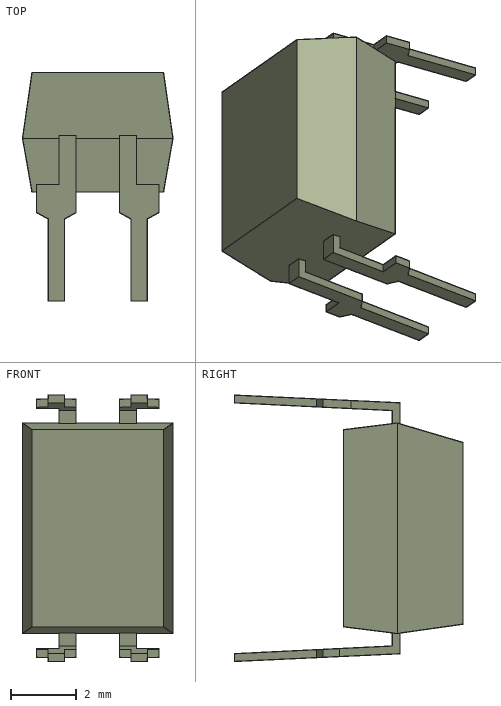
import cadquery as cq

SEAM_HALF_WIDTH = 2.288
SEAM_HALF_HEIGHT = 3.2
FACE_HALF_WIDTH = 2.0
FRONT_Y = -1.64
BACK_Y = 2.0
FRONT_HALF_HEIGHT = 3.0
BACK_TOP_Z = 2.61
BACK_BOTTOM_Z = -2.92

LEAD_THICKNESS = 0.24
LEAD_BACK_Y = 0.09
LEAD_TIP_Y = -4.95
BEND_HALF_HEIGHT = 3.815
TIP_HALF_HEIGHT = 4.05
LEAD_ROOT_Z = 2.92

STEM_INNER_X = 0.66
STEM_OUTER_X = 1.18
SHOULDER_OUTER_X = 1.86
PIN_INNER_X = 1.005
PIN_OUTER_X = 1.51
TOP_SHOULDER_Y = -1.41
BOTTOM_SHOULDER_Y = -1.76
TAPER_START_Y = -2.26
TAPER_END_Y = -2.455


def body_half(face_y, face_bottom_z, face_top_z):
    """Solid between the seam rectangle and a smaller end face at face_y."""
    seam = [
        (-SEAM_HALF_WIDTH, 0, -SEAM_HALF_HEIGHT),
        (SEAM_HALF_WIDTH, 0, -SEAM_HALF_HEIGHT),
        (SEAM_HALF_WIDTH, 0, SEAM_HALF_HEIGHT),
        (-SEAM_HALF_WIDTH, 0, SEAM_HALF_HEIGHT),
    ]
    face = [
        (-FACE_HALF_WIDTH, face_y, face_bottom_z),
        (FACE_HALF_WIDTH, face_y, face_bottom_z),
        (FACE_HALF_WIDTH, face_y, face_top_z),
        (-FACE_HALF_WIDTH, face_y, face_top_z),
    ]
    loops = [
        cq.Wire.makePolygon([cq.Vector(*point) for point in corners], close=True)
        for corners in (seam, face)
    ]
    return cq.Workplane(cq.Solid.makeLoft(loops, True))


def lead(shoulder_y):
    """Upper lead on the +X side: bent strip trimmed to its flat outline."""
    strip = (
        cq.Workplane("YZ")
        .moveTo(LEAD_BACK_Y, LEAD_ROOT_Z)
        .lineTo(LEAD_BACK_Y, BEND_HALF_HEIGHT)
        .lineTo(LEAD_TIP_Y, TIP_HALF_HEIGHT)
        .lineTo(LEAD_TIP_Y, TIP_HALF_HEIGHT - LEAD_THICKNESS)
        .lineTo(LEAD_BACK_Y - LEAD_THICKNESS, BEND_HALF_HEIGHT - LEAD_THICKNESS)
        .lineTo(LEAD_BACK_Y - LEAD_THICKNESS, LEAD_ROOT_Z)
        .close()
        .extrude(SHOULDER_OUTER_X)
    )
    outline = (
        cq.Workplane("XY")
        .polyline([
            (STEM_INNER_X, LEAD_BACK_Y),
            (STEM_OUTER_X, LEAD_BACK_Y),
            (STEM_OUTER_X, shoulder_y),
            (SHOULDER_OUTER_X, shoulder_y),
            (SHOULDER_OUTER_X, TAPER_START_Y),
            (PIN_OUTER_X, TAPER_END_Y),
            (PIN_OUTER_X, LEAD_TIP_Y),
            (PIN_INNER_X, LEAD_TIP_Y),
            (PIN_INNER_X, TAPER_END_Y),
            (STEM_INNER_X, TAPER_START_Y),
        ])
        .close()
        .extrude(TIP_HALF_HEIGHT)
    )
    return strip.intersect(outline)


result = body_half(FRONT_Y, -FRONT_HALF_HEIGHT, FRONT_HALF_HEIGHT).union(
    body_half(BACK_Y, BACK_BOTTOM_Z, BACK_TOP_Z)
)

top_lead = lead(TOP_SHOULDER_Y)
bottom_lead = lead(BOTTOM_SHOULDER_Y).mirror("XY")
for one_lead in (top_lead, bottom_lead):
    result = result.union(one_lead).union(one_lead.mirror("YZ"))